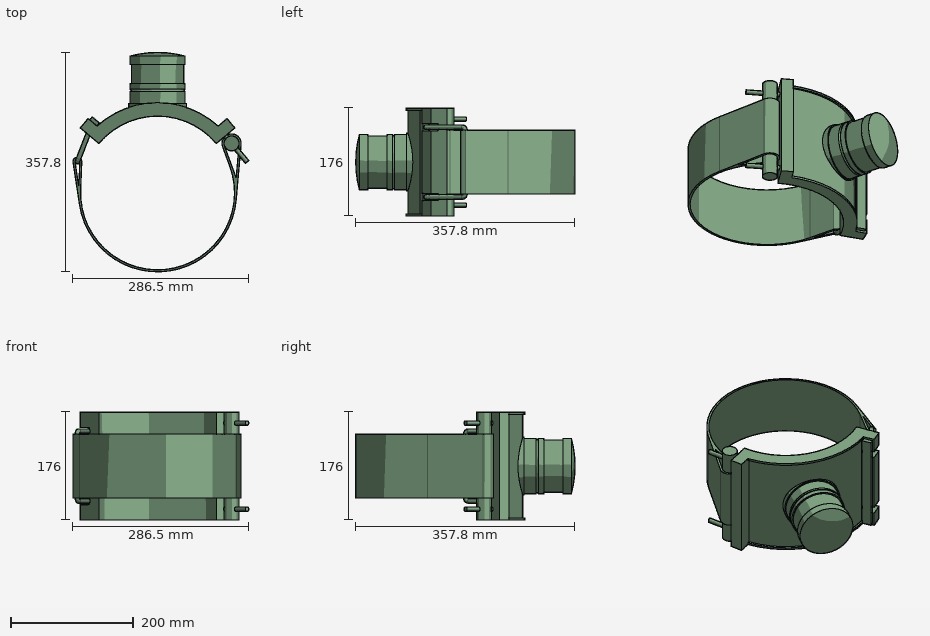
import cadquery as cq
import math


PIPE_RADIUS = 125.0
SADDLE_RADIUS = 143.8
RIM_RADIUS = 147.0
RIM_WIDTH = 3.5
SADDLE_LENGTH = 176.0
SADDLE_END_ANGLE = 40.0
FLANGE_RADIUS = 164.5
FLANGE_THICKNESS = 20.0
SLOT_WIDTH = 11.8
SLOT_RADIUS = 149.5

COLLAR_DIAMETER = 94.5
BODY_DIAMETER = 90.0
NECK_DIAMETER = 85.5
COLLAR_TOP = 146.0
GROOVE_BOTTOM = 165.3
GROOVE_TOP = 169.0
NECK_BOTTOM = 177.8
NECK_TOP = 209.0
CAP_EDGE = 223.0
CAP_TOP = 229.0

STRAP_OUTER_RADIUS = 128.8
STRAP_THICKNESS = 3.5
STRAP_WIDTH = 104.5

PIN_CENTER = (120.5, 80.5)
PIN_RADIUS = 24.5 / 2
SCREW_RADIUS = 7.5 / 2
SCREW_REACH = 39.5
SCREW_HEIGHT = 70.0

WIRE_CENTER = (-130.5, 50.8)
WIRE_RADIUS = 7.5 / 2
WIRE_HEIGHT = 57.0
BEND_RADIUS = WIRE_HEIGHT - STRAP_WIDTH / 2
BAR_RADIUS = 153.5
LEG_END_RADIUS = 156.0
BAR_WIDTH = 15.5
BAR_THICKNESS = 6.5

STRAP_INNER_RADIUS = STRAP_OUTER_RADIUS - STRAP_THICKNESS
END_COS = math.cos(math.radians(SADDLE_END_ANGLE))
END_SIN = math.sin(math.radians(SADDLE_END_ANGLE))


def polar(radius, angle):
    return (radius * math.cos(angle), radius * math.sin(angle))


def left_face_point(radial, depth):
    """Point given along the left clamping face and by its depth behind that face."""
    return (-radial * END_COS + depth * END_SIN, radial * END_SIN + depth * END_COS)


def centered_prism(wire, length):
    return wire.extrude(length / 2, both=True)


def saddle_shell(outer_radius, length):
    left_outer = left_face_point(outer_radius, 0)
    left_inner = left_face_point(PIPE_RADIUS, 0)
    outline = (
        cq.Workplane("XY")
        .moveTo(*left_outer)
        .threePointArc((0, outer_radius), (-left_outer[0], left_outer[1]))
        .lineTo(-left_inner[0], left_inner[1])
        .threePointArc((0, PIPE_RADIUS), left_inner)
        .close()
    )
    return centered_prism(outline, length)


def left_flange():
    root = (PIPE_RADIUS + SADDLE_RADIUS) / 2
    corners = [
        left_face_point(root, 0),
        left_face_point(FLANGE_RADIUS, 0),
        left_face_point(FLANGE_RADIUS, FLANGE_THICKNESS),
        left_face_point(root, FLANGE_THICKNESS),
    ]
    flange = centered_prism(cq.Workplane("XY").polyline(corners).close(), SADDLE_LENGTH)
    bore = cq.Workplane("XY").circle(PIPE_RADIUS).extrude(SADDLE_LENGTH, both=True)
    return flange.cut(bore)


def wire_slot(height):
    """Round-ended slot through the left flange, open at the flange edge."""
    face_plane = cq.Plane(
        origin=(*left_face_point(SLOT_RADIUS, 0), height),
        xDir=(-END_COS, END_SIN, 0),
        normal=(END_SIN, END_COS, 0),
    )
    opening = 2 * (FLANGE_RADIUS - SLOT_RADIUS)
    slot = (
        cq.Workplane(face_plane)
        .moveTo(opening, SLOT_WIDTH / 2)
        .lineTo(0, SLOT_WIDTH / 2)
        .threePointArc((-SLOT_WIDTH / 2, 0), (0, -SLOT_WIDTH / 2))
        .lineTo(opening, -SLOT_WIDTH / 2)
        .close()
    )
    return slot.extrude(FLANGE_THICKNESS)


def spigot():
    """Capped branch turned about the Y axis, rooted inside the saddle shell."""
    root = (PIPE_RADIUS + SADDLE_RADIUS) / 2
    collar, body, neck = COLLAR_DIAMETER / 2, BODY_DIAMETER / 2, NECK_DIAMETER / 2
    groove_radius = (GROOVE_TOP - GROOVE_BOTTOM) / 2
    dome_height = CAP_TOP - CAP_EDGE
    dome_radius = (body**2 + dome_height**2) / (2 * dome_height)
    dome_mid_x = body / 2
    dome_mid_y = CAP_TOP - dome_radius + math.sqrt(dome_radius**2 - dome_mid_x**2)
    profile = (
        cq.Workplane("XY")
        .moveTo(0, root)
        .lineTo(collar, root)
        .lineTo(collar, COLLAR_TOP)
        .lineTo(body, COLLAR_TOP)
        .lineTo(body, GROOVE_BOTTOM)
        .threePointArc((body - groove_radius, GROOVE_BOTTOM + groove_radius), (body, GROOVE_TOP))
        .lineTo(body, NECK_BOTTOM)
        .lineTo(neck, NECK_BOTTOM)
        .lineTo(neck, NECK_TOP)
        .lineTo(body, NECK_TOP)
        .lineTo(body, CAP_EDGE)
        .threePointArc((dome_mid_x, dome_mid_y), (0, CAP_TOP))
        .close()
    )
    branch = profile.revolve(360, (0, 0, 0), (0, 1, 0))
    bore = cq.Workplane("XY").circle(PIPE_RADIUS).extrude(SADDLE_LENGTH, both=True)
    return branch.cut(bore)


def make_saddle():
    body = saddle_shell(SADDLE_RADIUS, SADDLE_LENGTH)
    rim_offset = (SADDLE_LENGTH - RIM_WIDTH) / 2
    for side in (-1, 1):
        body = body.union(saddle_shell(RIM_RADIUS, RIM_WIDTH).translate((0, 0, side * rim_offset)))
    flange = left_flange()
    right_flange = flange.mirror("YZ")
    for side in (-1, 1):
        flange = flange.cut(wire_slot(side * WIRE_HEIGHT))
    return body.union(flange).union(right_flange).union(spigot())


def tangent_angle(center, ring_radius, loop_radius, crossed):
    """Angle of the normal to the line touching the ring and the loop circle.

    A crossed tangent keeps the ring and the loop on opposite sides of the line.
    """
    distance = math.hypot(*center)
    side = -1 if center[0] > 0 else 1
    offset = ring_radius + loop_radius if crossed else ring_radius - loop_radius
    return math.atan2(center[1], center[0]) + side * math.acos(offset / distance)


def loop_arc(center, radius, outer_angle, inner_angle):
    """Start, middle and end of the arc over a loop, from its outer to its inner tangent."""
    end_angle = inner_angle + math.pi
    if center[0] < 0:
        end_angle -= 2 * math.pi
    angles = (outer_angle, (outer_angle + end_angle) / 2, end_angle)
    offsets = [polar(radius, angle) for angle in angles]
    return [(center[0] + x, center[1] + y) for x, y in offsets]


def loop_outline(center, rod_radius):
    radius = rod_radius + STRAP_THICKNESS
    outer = tangent_angle(center, STRAP_OUTER_RADIUS, radius, crossed=False)
    inner = tangent_angle(center, STRAP_INNER_RADIUS, radius, crossed=True)
    ring_outer = polar(STRAP_OUTER_RADIUS, outer)
    ring_inner = polar(STRAP_INNER_RADIUS, inner)
    return ring_outer, loop_arc(center, radius, outer, inner), ring_inner


def loop_cavity(center, rod_radius):
    """Teardrop opening: around the rod, then tapering to where the strap ends meet."""
    outer = tangent_angle(center, STRAP_INNER_RADIUS, rod_radius, crossed=False)
    inner = tangent_angle(center, STRAP_OUTER_RADIUS, rod_radius, crossed=True)
    start, middle, end = loop_arc(center, rod_radius, outer, inner)
    spread = math.sin(inner - outer)
    tip = (
        (STRAP_INNER_RADIUS * math.sin(inner) - STRAP_OUTER_RADIUS * math.sin(outer)) / spread,
        (STRAP_OUTER_RADIUS * math.cos(outer) - STRAP_INNER_RADIUS * math.cos(inner)) / spread,
    )
    teardrop = cq.Workplane("XY").moveTo(*tip).lineTo(*start).threePointArc(middle, end).close()
    return centered_prism(teardrop, STRAP_WIDTH)


def band():
    right_outer, right_arc, right_inner = loop_outline(PIN_CENTER, PIN_RADIUS)
    left_outer, left_arc, left_inner = loop_outline(WIRE_CENTER, WIRE_RADIUS)
    outline = (
        cq.Workplane("XY")
        .moveTo(*left_outer)
        .threePointArc((0, -STRAP_OUTER_RADIUS), right_outer)
        .lineTo(*right_arc[0])
        .threePointArc(right_arc[1], right_arc[2])
        .lineTo(*right_inner)
        .threePointArc((0, -STRAP_INNER_RADIUS), left_inner)
        .lineTo(*left_arc[2])
        .threePointArc(left_arc[1], left_arc[0])
        .close()
    )
    solid = centered_prism(outline, STRAP_WIDTH)
    solid = solid.cut(loop_cavity(PIN_CENTER, PIN_RADIUS))
    return solid.cut(loop_cavity(WIRE_CENTER, WIRE_RADIUS))


def tension_pin():
    return centered_prism(cq.Workplane("XY").center(*PIN_CENTER).circle(PIN_RADIUS), SADDLE_LENGTH)


def screw(height):
    """Screw across the pin, square to the right clamping face and ending on it."""
    face_distance = PIN_CENTER[0] * END_SIN - PIN_CENTER[1] * END_COS
    start = (
        PIN_CENTER[0] - face_distance * END_SIN,
        PIN_CENTER[1] + face_distance * END_COS,
        height,
    )
    plane = cq.Plane(origin=start, xDir=(0, 0, 1), normal=(END_SIN, -END_COS, 0))
    return cq.Workplane(plane).circle(SCREW_RADIUS).extrude(face_distance + SCREW_REACH)


def wire_hook():
    """U-shaped wire: straight through the strap loop, with both legs ending in the anchor bar."""
    leg_tip = left_face_point(LEG_END_RADIUS, FLANGE_THICKNESS + BAR_THICKNESS / 2)
    leg = (leg_tip[0] - WIRE_CENTER[0], leg_tip[1] - WIRE_CENTER[1])
    leg_length = math.hypot(*leg)
    plane = cq.Plane(
        origin=(*WIRE_CENTER, 0),
        xDir=(leg[0], leg[1], 0),
        normal=(leg[1], -leg[0], 0),
    )
    straight = WIRE_HEIGHT - BEND_RADIUS
    bend_mid = BEND_RADIUS * (1 - math.sqrt(0.5))
    path = (
        cq.Workplane(plane)
        .moveTo(leg_length, -WIRE_HEIGHT)
        .lineTo(BEND_RADIUS, -WIRE_HEIGHT)
        .threePointArc((bend_mid, bend_mid - WIRE_HEIGHT), (0, -straight))
        .lineTo(0, straight)
        .threePointArc((bend_mid, WIRE_HEIGHT - bend_mid), (BEND_RADIUS, WIRE_HEIGHT))
        .lineTo(leg_length, WIRE_HEIGHT)
    )
    leg_end = cq.Plane(
        origin=(*leg_tip, -WIRE_HEIGHT),
        xDir=(0, 0, 1),
        normal=(-leg[0], -leg[1], 0),
    )
    return cq.Workplane(leg_end).circle(WIRE_RADIUS).sweep(path)


def anchor_bar():
    """Flat bar on the back of the left flange, fitting between the saddle rims."""
    near, far = BAR_RADIUS - BAR_WIDTH / 2, BAR_RADIUS + BAR_WIDTH / 2
    back = FLANGE_THICKNESS + BAR_THICKNESS
    corners = [
        left_face_point(near, FLANGE_THICKNESS),
        left_face_point(far, FLANGE_THICKNESS),
        left_face_point(far, back),
        left_face_point(near, back),
    ]
    outline = cq.Workplane("XY").polyline(corners).close()
    return centered_prism(outline, SADDLE_LENGTH - 2 * RIM_WIDTH)


def make_strap():
    body = band().union(tension_pin()).union(wire_hook()).union(anchor_bar())
    for side in (-1, 1):
        body = body.union(screw(side * SCREW_HEIGHT))
    return body


saddle = make_saddle()
strap = make_strap()
result = cq.Compound.makeCompound([saddle.solids().val(), strap.solids().val()])